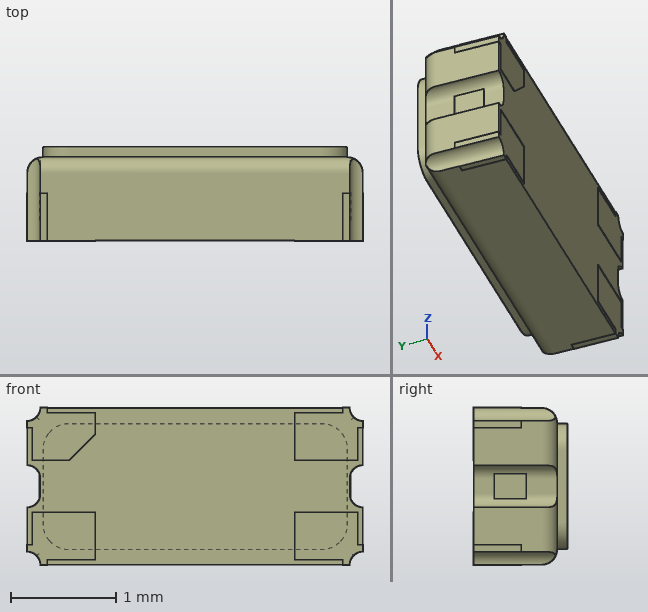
import cadquery as cq

LENGTH = 3.2
DEPTH = 0.9
HEIGHT = 1.5

METAL = 0.003

LID_THICKNESS = 0.1
BODY_LENGTH = LENGTH - 2 * METAL
BODY_HEIGHT = HEIGHT - 2 * METAL
BODY_DEPTH = DEPTH - LID_THICKNESS - METAL
BODY_ROUND = 0.15

LID_INSET = 0.15
LID_CORNER = 0.25
LID_EDGE_ROUND = 0.02

CORNER_GROOVE_RADIUS = 0.128
NOTCH_WIDTH = 0.4
NOTCH_DEPTH = 0.128

CONTACT_WIDTH = 0.25
CONTACT_DEPTH = 0.3
CONTACT_START = 0.2
CONTACT_RISE = 0.01

PAD_LENGTH = 0.6
PAD_HEIGHT = 0.45
PAD_INSET = 0.05
PAD_KEY = 0.25
WRAP_REACH = 0.195
WRAP_DEPTH = 0.45

SIDES = (-1, 1)


def block(length, depth, height, y_start):
    """Box centred in X and Z that grows towards +Y from y_start."""
    box = cq.Workplane("XY").box(length, depth, height, centered=(True, False, True))
    return box.translate((0, y_start, 0))


def make_body():
    body = block(BODY_LENGTH, BODY_DEPTH, BODY_HEIGHT, 0)
    return body.faces(">Y").edges().fillet(BODY_ROUND)


def make_lid():
    lid = block(LENGTH - 2 * LID_INSET, LID_THICKNESS, HEIGHT - 2 * LID_INSET, BODY_DEPTH)
    return lid.edges("|Y").fillet(LID_CORNER).faces(">Y").edges().fillet(LID_EDGE_ROUND)


def make_pad(x_side, z_side):
    """Solder pad in one quadrant; the -X, +Z pad has its inner corner cut off as a key."""
    x_center = x_side * (LENGTH / 2 - PAD_INSET - PAD_LENGTH / 2)
    z_center = z_side * (HEIGHT / 2 - PAD_INSET - PAD_HEIGHT / 2)
    pad = block(PAD_LENGTH, METAL, PAD_HEIGHT, -METAL)
    if (x_side, z_side) == (-1, 1):
        pad = pad.edges("|Y and >X and <Z").chamfer(PAD_KEY)
    return pad.translate((x_center, 0, z_center))


def make_corner_wrap(x_side, z_side):
    """Metal around one body corner, proud of the two side faces and the mounting face."""
    wrap = block(WRAP_REACH, WRAP_DEPTH + METAL, WRAP_REACH, -METAL)
    return wrap.translate((x_side * (LENGTH - WRAP_REACH) / 2, 0, z_side * (HEIGHT - WRAP_REACH) / 2))


def make_corner_groove(x_side, z_side):
    groove = cq.Workplane("XZ").circle(CORNER_GROOVE_RADIUS).extrude(DEPTH, both=True)
    return groove.translate((x_side * LENGTH / 2, 0, z_side * HEIGHT / 2))


def make_end_notch(x_side):
    """Slot through the whole depth whose inner corners are as round as the notch is deep."""
    notch = block(2 * NOTCH_DEPTH, 2 * DEPTH, NOTCH_WIDTH, -DEPTH)
    inner_face = "<X" if x_side > 0 else ">X"
    notch = notch.faces(inner_face).edges("|Y").fillet(NOTCH_DEPTH)
    return notch.translate((x_side * LENGTH / 2, 0, 0))


def make_contact(x_side):
    """Plate on the notch floor, backed into the body so that it joins the round flanks."""
    plate = block(2 * CONTACT_RISE, CONTACT_DEPTH, CONTACT_WIDTH, CONTACT_START)
    return plate.translate((x_side * (LENGTH / 2 - NOTCH_DEPTH), 0, 0))


def make_terminal(x_side, z_side):
    """Solder pad and corner wrap fused into one piece of metal."""
    return make_pad(x_side, z_side).union(make_corner_wrap(x_side, z_side))


result = make_body().union(make_lid())

for x_side in SIDES:
    for z_side in SIDES:
        result = result.union(make_terminal(x_side, z_side))
        result = result.cut(make_corner_groove(x_side, z_side))
    result = result.cut(make_end_notch(x_side))
    result = result.union(make_contact(x_side))